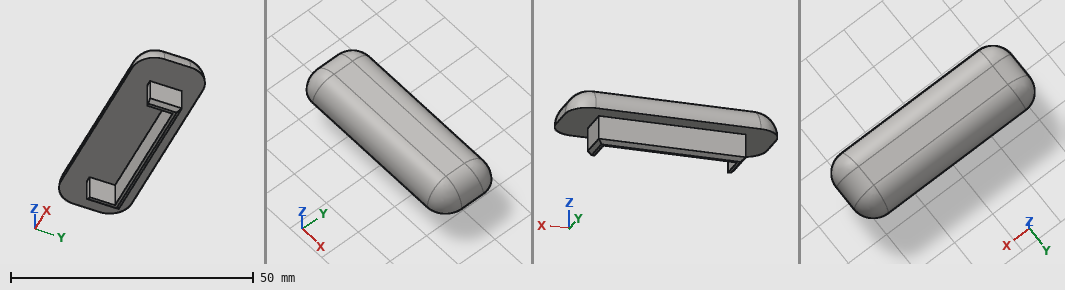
import cadquery as cq

length = 46.0
width = 16.0
cap_height = 5.5
corner_radius = 5.0
dome_radius = 5.47

total_height = 11.4
foot_height = total_height - cap_height
foot_length = 32.0
foot_front = -3.1
foot_back = 4.15
foot_chamfer = 0.85

leg_thickness = 1.45
wall_thickness = 1.45


def make_cap():
    """Rounded plate whose top edge is fully rolled over."""
    plate = cq.Workplane("XY").rect(length, width).extrude(cap_height)
    return plate.edges("|Z").fillet(corner_radius).faces(">Z").edges().fillet(dome_radius)


def make_foot():
    """Channel open towards -Y, chamfered along its lower end and back edges."""
    foot_width = foot_back - foot_front
    foot = (
        cq.Workplane("XY")
        .box(foot_length, foot_width, foot_height, centered=(True, False, False))
        .translate((0, foot_front, -foot_height))
    )
    lower_edges = foot.faces("<Z").edges("<X or >X or >Y")
    foot = lower_edges.chamfer(foot_chamfer)
    opening = (
        cq.Workplane("XY")
        .box(
            foot_length - 2 * leg_thickness,
            foot_width - wall_thickness,
            foot_height,
            centered=(True, False, False),
        )
        .translate((0, foot_front, -foot_height))
    )
    return foot.cut(opening)


result = make_cap().union(make_foot())